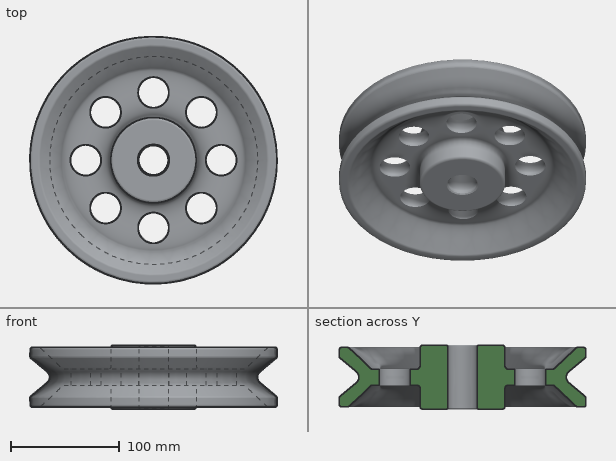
import cadquery as cq
import math

OUTER_RADIUS = 227.07 / 2
RIM_WIDTH = 55.2
HUB_LENGTH = 59.04
HUB_RADIUS = 39.2
WEB_THICKNESS = 15.0

GROOVE_BOTTOM_RADIUS = 95.6
GROOVE_ROUND = 6.7
GROOVE_FLANK_ANGLE = math.radians(40)

RECESS_OPENING_RADIUS = 105.0
RECESS_FLOOR_RADIUS = 83.75

BORE_RADIUS = 13.5
BORE_CHAMFER = 1.0

HOLE_COUNT = 8
HOLE_CIRCLE_RADIUS = 62.2
HOLE_DIAMETER = 28.0

EDGE_ROUND = 2.5
RECESS_ROUND = 3.0
HUB_ROOT_ROUND = 3.0

HALF_RIM = RIM_WIDTH / 2
HALF_HUB = HUB_LENGTH / 2
HALF_WEB = WEB_THICKNESS / 2

FLANK_START_RADIUS = GROOVE_BOTTOM_RADIUS + GROOVE_ROUND * (1 - math.sin(GROOVE_FLANK_ANGLE))
FLANK_START_Z = GROOVE_ROUND * math.cos(GROOVE_FLANK_ANGLE)
FLANK_END_Z = FLANK_START_Z + (OUTER_RADIUS - FLANK_START_RADIUS) * math.tan(GROOVE_FLANK_ANGLE)


def make_wheel():
    """Revolve the sharp-edged half section (radius, z) about the Z axis."""
    section = (
        cq.Workplane("XZ")
        .moveTo(BORE_RADIUS, -HALF_HUB)
        .lineTo(BORE_RADIUS, HALF_HUB)
        .lineTo(HUB_RADIUS, HALF_HUB)
        .lineTo(HUB_RADIUS, HALF_WEB)
        .lineTo(RECESS_FLOOR_RADIUS, HALF_WEB)
        .lineTo(RECESS_OPENING_RADIUS, HALF_RIM)
        .lineTo(OUTER_RADIUS, HALF_RIM)
        .lineTo(OUTER_RADIUS, FLANK_END_Z)
        .lineTo(FLANK_START_RADIUS, FLANK_START_Z)
        .threePointArc((GROOVE_BOTTOM_RADIUS, 0), (FLANK_START_RADIUS, -FLANK_START_Z))
        .lineTo(OUTER_RADIUS, -FLANK_END_Z)
        .lineTo(OUTER_RADIUS, -HALF_RIM)
        .lineTo(RECESS_OPENING_RADIUS, -HALF_RIM)
        .lineTo(RECESS_FLOOR_RADIUS, -HALF_WEB)
        .lineTo(HUB_RADIUS, -HALF_WEB)
        .lineTo(HUB_RADIUS, -HALF_HUB)
        .close()
    )
    return section.revolve(360, (0, 0, 0), (0, 1, 0))


def circular_edges(body, radius, height):
    """Pick the two circular edges of the given radius at z = +height and z = -height."""
    tolerance = 0.01

    def matches(edge):
        return (
            edge.geomType() == "CIRCLE"
            and abs(edge.radius() - radius) < tolerance
            and abs(abs(edge.Center().z) - height) < tolerance
        )

    return body.edges().filter(matches)


def round_edges(body):
    """Round the rim, recess and hub edges on both sides."""
    rounds = [
        (OUTER_RADIUS, HALF_RIM, EDGE_ROUND),
        (OUTER_RADIUS, FLANK_END_Z, EDGE_ROUND),
        (RECESS_OPENING_RADIUS, HALF_RIM, RECESS_ROUND),
        (RECESS_FLOOR_RADIUS, HALF_WEB, RECESS_ROUND),
        (HUB_RADIUS, HALF_HUB, EDGE_ROUND),
        (HUB_RADIUS, HALF_WEB, HUB_ROOT_ROUND),
    ]
    for radius, height, size in rounds:
        body = circular_edges(body, radius, height).fillet(size)
    return body


def chamfer_bore(body):
    """Chamfer both mouths of the bore."""
    return circular_edges(body, BORE_RADIUS, HALF_HUB).chamfer(BORE_CHAMFER)


def cut_holes(body):
    """Cut the ring of lightening holes through the web."""
    return (
        body.copyWorkplane(cq.Workplane("XY"))
        .polarArray(HOLE_CIRCLE_RADIUS, 0, 360, HOLE_COUNT)
        .circle(HOLE_DIAMETER / 2)
        .cutThruAll()
    )


wheel = make_wheel()
wheel = round_edges(wheel)
wheel = chamfer_bore(wheel)
result = cut_holes(wheel)